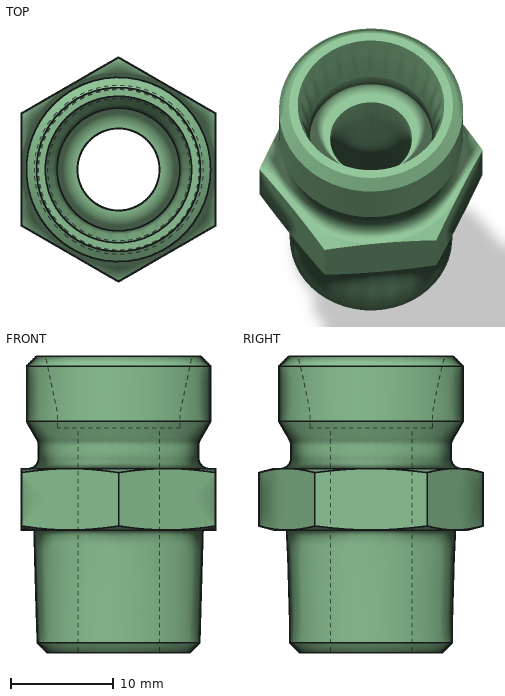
import cadquery as cq
import math

height = 29.0
hex_bottom = 12.0
hex_top = 18.0

across_flats = 19.0
across_corners = across_flats / math.cos(math.radians(30))
hex_chamfer_angle = 15.0
hex_chamfer_radius = across_flats / 2

thread_radius = 18.0 / 2
thread_chamfer = 1.0
thread_end = 22.62
neck_radius = 15.7 / 2
neck_fillet = 1.0
runout_angle = 30.0
neck_top = thread_end - (thread_radius - neck_radius) / math.tan(math.radians(runout_angle))
runout_tangent = neck_fillet * math.tan(math.radians(runout_angle / 2))

taper_top_radius = 8.26
taper_bottom_radius = 7.95
bottom_chamfer = 1.0

bore_radius = 8.0 / 2
socket_radius = 12.0 / 2
cone_mouth_radius = 7.15
cone_half_angle = 12.0
cone_depth = (cone_mouth_radius - socket_radius) / math.tan(math.radians(cone_half_angle))
socket_floor = 22.0


def revolve(profile):
    """Turn a closed (radius, height) profile about the Z axis."""
    return profile.close().revolve(360, (0, 0, 0), (0, 1, 0))


def make_turned_body():
    """Outside of both threaded ends, without the hexagon."""
    return revolve(
        cq.Workplane("XZ")
        .moveTo(0, 0)
        .lineTo(taper_bottom_radius - bottom_chamfer, 0)
        .lineTo(taper_bottom_radius, bottom_chamfer)
        .lineTo(taper_top_radius, hex_bottom)
        .lineTo(neck_radius + neck_fillet, hex_bottom)
        .lineTo(neck_radius + neck_fillet, hex_top)
        .radiusArc((neck_radius, hex_top + neck_fillet), neck_fillet)
        .lineTo(neck_radius, neck_top - runout_tangent)
        .radiusArc(
            (
                neck_radius + runout_tangent * math.sin(math.radians(runout_angle)),
                neck_top + runout_tangent * math.cos(math.radians(runout_angle)),
            ),
            neck_fillet,
        )
        .lineTo(thread_radius, thread_end)
        .lineTo(thread_radius, height - thread_chamfer)
        .lineTo(thread_radius - thread_chamfer, height)
        .lineTo(0, height)
    )


def make_hexagon():
    """Hexagon with flats facing +X and -X and both faces chamfered."""
    prism = (
        cq.Workplane("XY", origin=(0, 0, hex_bottom))
        .polygon(6, across_corners)
        .extrude(hex_top - hex_bottom)
        .rotate((0, 0, 0), (0, 0, 1), 30)
    )
    corner_radius = across_corners / 2
    drop = (corner_radius - hex_chamfer_radius) * math.tan(math.radians(hex_chamfer_angle))
    envelope = revolve(
        cq.Workplane("XZ")
        .moveTo(0, hex_bottom)
        .lineTo(hex_chamfer_radius, hex_bottom)
        .lineTo(corner_radius, hex_bottom + drop)
        .lineTo(corner_radius, hex_top - drop)
        .lineTo(hex_chamfer_radius, hex_top)
        .lineTo(0, hex_top)
    )
    return prism.intersect(envelope)


def make_passage():
    """Through bore opening into the tube socket and its sealing cone."""
    return revolve(
        cq.Workplane("XZ")
        .moveTo(0, 0)
        .lineTo(bore_radius, 0)
        .lineTo(bore_radius, socket_floor)
        .lineTo(socket_radius, socket_floor)
        .lineTo(socket_radius, height - cone_depth)
        .lineTo(cone_mouth_radius, height)
        .lineTo(0, height)
    )


result = make_turned_body().union(make_hexagon()).cut(make_passage())